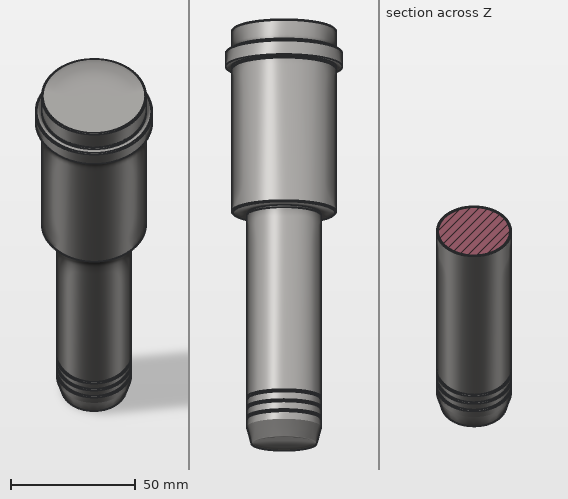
import cadquery as cq
import math

total_length = 170.0
body_length = 75.0
flange_top_depth = 9.0
flange_thickness = 6.0

flange_diameter = 47.0
body_diameter = 42.0
shaft_diameter = 30.0

edge_chamfer = 0.5
flange_relief_width = 1.0
flange_relief_depth = 0.8
shaft_relief_width = 1.0
shaft_relief_depth = 0.5

groove_count = 3
groove_pitch = 4.0
groove_width = 1.0
groove_depth = 0.5
lowest_groove_height = 10.5

taper_length = 7.0
taper_angle = 15.0
tip_round = 0.5

body_bottom = total_length - body_length
flange_top = total_length - flange_top_depth
flange_bottom = flange_top - flange_thickness


def cylinder(diameter, bottom, top):
    """Solid cylinder on the Z axis between two heights."""
    return cq.Workplane("XY").workplane(offset=bottom).circle(diameter / 2).extrude(top - bottom)


def ring_groove(diameter, depth, bottom, width):
    """Ring to cut a square groove into a cylinder of the given diameter."""
    core = cylinder(diameter - 2 * depth, bottom, bottom + width)
    return cylinder(diameter, bottom, bottom + width).cut(core)


def vee_groove(diameter, height, width, depth):
    """Ring that cuts a V-shaped groove centred at a height."""
    radius = diameter / 2
    section = (
        cq.Workplane("XZ")
        .moveTo(radius, height - width / 2)
        .lineTo(radius, height + width / 2)
        .lineTo(radius - depth, height)
        .close()
    )
    return section.revolve(360, (0, 0, 0), (0, 1, 0))


def make_body():
    """Large cylinder with its flange and the reliefs beside the flange."""
    body = cylinder(body_diameter, body_bottom, total_length)
    body = body.faces("<Z or >Z").chamfer(edge_chamfer)
    for height in (flange_top + flange_relief_width / 2, flange_bottom - flange_relief_width / 2):
        relief = vee_groove(body_diameter, height, flange_relief_width, flange_relief_depth)
        body = body.cut(relief)
    flange = cylinder(flange_diameter, flange_bottom, flange_top)
    flange = flange.faces(">Z").chamfer(edge_chamfer)
    return body.union(flange)


def make_shaft():
    """Slim cylinder with a conical lead-in and ring grooves."""
    taper_inset = taper_length * math.tan(math.radians(taper_angle))
    radius = shaft_diameter / 2
    shaft = (
        cq.Workplane("XZ")
        .lineTo(radius - taper_inset, 0)
        .lineTo(radius, taper_length)
        .lineTo(radius, body_bottom)
        .lineTo(0, body_bottom)
        .close()
        .revolve(360, (0, 0, 0), (0, 1, 0))
    )
    shaft = shaft.faces("<Z").edges().fillet(tip_round)
    for index in range(groove_count):
        height = lowest_groove_height + index * groove_pitch
        shaft = shaft.cut(vee_groove(shaft_diameter, height, groove_width, groove_depth))
    relief_bottom = body_bottom - shaft_relief_width
    relief = ring_groove(shaft_diameter, shaft_relief_depth, relief_bottom, shaft_relief_width)
    return shaft.cut(relief)


result = make_body().union(make_shaft())